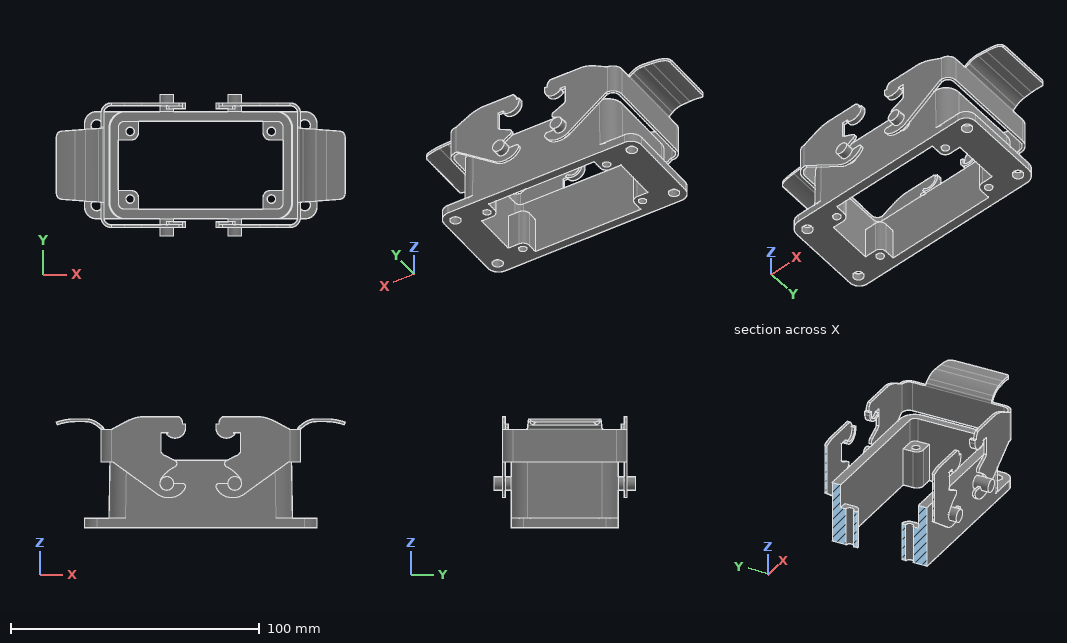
import cadquery as cq
import math

FLANGE_LENGTH = 93.6
FLANGE_WIDTH = 43.2
FLANGE_THICKNESS = 4.0
FLANGE_CORNER_RADIUS = 5.0
FLANGE_HOLE_X = 41.8
FLANGE_HOLE_Y = 16.0
FLANGE_HOLE_DIAMETER = 4.5

HOUSING_HEIGHT = 27.3
HOUSING_BASE_LENGTH = 74.0
HOUSING_TOP_LENGTH = 73.1
HOUSING_CORNER_RADIUS = 6.7
CAVITY_LENGTH = 66.2
CAVITY_WIDTH = 35.3
CAVITY_CORNER_RADIUS = 2.4

BOSS_INNER_X = 25.0
BOSS_INNER_Y = 10.1
BOSS_TOP = 16.8
BOSS_CORNER_RADIUS = 3.0
BOSS_HOLE_X = 28.4
BOSS_HOLE_Y = 13.6
BOSS_HOLE_DIAMETER = 3.3

PIN_X = 13.65
PIN_Z = 17.9
PIN_RADIUS = 2.75
PIN_SPAN = 57.0

SHEET = 1.2
LEVER_OUTER_X = 40.15
LEVER_WIDTH = 50.2
LEVER_BEND_RADIUS = 4.25
LEVER_TOP = 44.8
BAND_BOTTOM = 26.5
BAND_TOP = 39.65

HOOK_X = -10.35
HOOK_Z = 40.35
HOOK_RADIUS = 4.3
HOOK_TOP = 41.8
HOOK_END_ANGLE = 216
LIP_DEPTH = 1.2

SHOULDER_RISE = (-30.6, 42.5)
SHOULDER_MIDDLE = (-27.3, 44.0)
SHOULDER_END = (-23.8, LEVER_TOP)
NOSE_START = (-8.8, LEVER_TOP)
NOSE_MIDDLE = (-7.7, 43.6)
THROAT_BACK_X = -15.9
THROAT_FRONT_X = -13.8
THROAT_TOP = 38.2
THROAT_BOTTOM = 30.4
THROAT_CURVE_MIDDLE = (-15.2, 29.6)
THROAT_CURVE_END = (-14.1, 29.0)
FINGER_UPPER = (-10.5, 27.2)
FINGER_TIP = (-9.6, 25.9)
FINGER_LOWER = (-10.4, 24.6)
FINGER_UNDERSIDE_MIDDLE = (-14.1, 22.0)
FINGER_UNDERSIDE_END = (-16.1, 19.6)
ARM_END_TOP_X = -7.6
ARM_END_MIDDLE = (-6.4, 17.4)
ARM_END_LOWER = (-6.2, 16.2)
ARM_HEEL_MIDDLE = (-8.6, 13.4)
ARM_HEEL_BOTTOM = (-12.0, 12.25)
ARM_SOLE_MIDDLE = (-14.7, 12.35)
ARM_SOLE_END = (-17.0, 13.3)
ARM_ROOT_X = -35.3

TAB_TIP_X = -58.1
TAB_TOP = 43.9
TAB_FLAT_START_X = -50.5
TAB_FLAT_END_X = -46.4
TAB_TIP_ARC_RADIUS = 22.0
TAB_SHOULDER_RADIUS = 8.5
TAB_BEND_RADIUS = 1.4
TAB_TIP_HALF_WIDTH = 13.6
TAB_ROOT_HALF_WIDTH = 15.0
TAB_CORNER_RADIUS = 2.5
TAB_ROOT_FILLET = 0.6


def four_corners(x, y):
    return [(sx * x, sy * y) for sx in (-1, 1) for sy in (-1, 1)]


def polar(cx, cz, radius, degrees):
    angle = math.radians(degrees)
    return (cx + radius * math.cos(angle), cz + radius * math.sin(angle))


def make_flange():
    plate = cq.Workplane("XY").box(
        FLANGE_LENGTH, FLANGE_WIDTH, FLANGE_THICKNESS, centered=(True, True, False)
    )
    return (
        plate.edges("|Z").fillet(FLANGE_CORNER_RADIUS)
        .faces(">Z").workplane(origin=(0, 0, 0))
        .pushPoints(four_corners(FLANGE_HOLE_X, FLANGE_HOLE_Y))
        .hole(FLANGE_HOLE_DIAMETER)
    )


def make_walls():
    base = HOUSING_BASE_LENGTH / 2
    top = HOUSING_TOP_LENGTH / 2
    return (
        cq.Workplane("XZ")
        .polyline([(-base, 0), (base, 0), (top, HOUSING_HEIGHT), (-top, HOUSING_HEIGHT)])
        .close()
        .extrude(FLANGE_WIDTH / 2, both=True)
        .edges("not(|X or |Y)").fillet(HOUSING_CORNER_RADIUS)
    )


def make_cavity():
    return (
        cq.Workplane("XY").rect(CAVITY_LENGTH, CAVITY_WIDTH).extrude(HOUSING_HEIGHT)
        .edges("|Z").fillet(CAVITY_CORNER_RADIUS)
    )


def make_bosses():
    length = CAVITY_LENGTH / 2 - BOSS_INNER_X
    width = CAVITY_WIDTH / 2 - BOSS_INNER_Y
    boss = (
        cq.Workplane("XY").box(length, width, BOSS_TOP, centered=False)
        .translate((BOSS_INNER_X, BOSS_INNER_Y, 0))
        .edges("|Z and <X and <Y").fillet(BOSS_CORNER_RADIUS)
    )
    boss = boss.intersect(make_cavity())
    boss_pair = boss.union(boss.mirror("YZ"))
    bosses = boss_pair.union(boss_pair.mirror("XZ"))
    holes = (
        cq.Workplane("XY").pushPoints(four_corners(BOSS_HOLE_X, BOSS_HOLE_Y))
        .circle(BOSS_HOLE_DIAMETER / 2).extrude(BOSS_TOP)
    )
    return bosses.cut(holes)


def make_pins():
    length = (PIN_SPAN - CAVITY_WIDTH) / 2
    pins = cq.Workplane("XY")
    for side in (-1, 1):
        pin = (
            cq.Workplane("XZ", origin=(side * PIN_X, -CAVITY_WIDTH / 2, PIN_Z))
            .circle(PIN_RADIUS).extrude(length)
        )
        pins = pins.union(pin).union(pin.mirror("XZ"))
    return pins


def lever_outline():
    """Side profile of the band and cheek of the -X lever, in XZ."""
    hook_side = HOOK_X + HOOK_RADIUS
    hook_middle_angle = (HOOK_END_ANGLE - 360) / 2
    hook_end = polar(HOOK_X, HOOK_Z, HOOK_RADIUS, HOOK_END_ANGLE)
    hook_inner_end = polar(HOOK_X, HOOK_Z, HOOK_RADIUS - SHEET / 2, HOOK_END_ANGLE)
    bend_end = -LEVER_OUTER_X + LEVER_BEND_RADIUS
    return (
        cq.Workplane("XZ")
        .moveTo(-LEVER_OUTER_X, BAND_BOTTOM)
        .lineTo(-LEVER_OUTER_X, BAND_TOP)
        .lineTo(bend_end, BAND_TOP)
        .lineTo(*SHOULDER_RISE)
        .threePointArc(SHOULDER_MIDDLE, SHOULDER_END)
        .lineTo(*NOSE_START)
        .threePointArc(NOSE_MIDDLE, (hook_side - SHEET, HOOK_TOP))
        .lineTo(hook_side, HOOK_TOP)
        .lineTo(hook_side, HOOK_Z)
        .threePointArc(polar(HOOK_X, HOOK_Z, HOOK_RADIUS, hook_middle_angle), hook_end)
        .lineTo(*hook_inner_end)
        .lineTo(THROAT_FRONT_X, THROAT_TOP)
        .lineTo(THROAT_BACK_X, THROAT_TOP)
        .lineTo(THROAT_BACK_X, THROAT_BOTTOM)
        .threePointArc(THROAT_CURVE_MIDDLE, THROAT_CURVE_END)
        .lineTo(*FINGER_UPPER)
        .threePointArc(FINGER_TIP, FINGER_LOWER)
        .threePointArc(FINGER_UNDERSIDE_MIDDLE, FINGER_UNDERSIDE_END)
        .lineTo(-PIN_X - PIN_RADIUS, PIN_Z)
        .threePointArc((-PIN_X, PIN_Z - PIN_RADIUS), (-PIN_X + PIN_RADIUS, PIN_Z))
        .lineTo(ARM_END_TOP_X, PIN_Z)
        .threePointArc(ARM_END_MIDDLE, ARM_END_LOWER)
        .threePointArc(ARM_HEEL_MIDDLE, ARM_HEEL_BOTTOM)
        .threePointArc(ARM_SOLE_MIDDLE, ARM_SOLE_END)
        .lineTo(ARM_ROOT_X, BAND_BOTTOM)
        .close()
        .extrude(LEVER_WIDTH / 2, both=True)
    )


def make_lever_body():
    """Bent strip, open toward +X, trimmed to the lever side profile."""
    reach = LEVER_OUTER_X

    def bent_block(inset, radius):
        return (
            cq.Workplane("XY")
            .box(reach, LEVER_WIDTH - 2 * inset, LEVER_TOP, centered=(False, True, False))
            .translate((inset - LEVER_OUTER_X, 0, 0))
            .edges("|Z and <X").fillet(radius)
        )

    strip = bent_block(0, LEVER_BEND_RADIUS).cut(bent_block(SHEET, LEVER_BEND_RADIUS - SHEET))
    return strip.intersect(lever_outline())


def make_hook_lip():
    """Curled rim of the hook, turned inward from the -Y cheek."""
    inner_radius = HOOK_RADIUS - SHEET
    middle_angle = (HOOK_END_ANGLE - 360) / 2
    lip_outer_y = SHEET - LEVER_WIDTH / 2
    return (
        cq.Workplane("XZ", origin=(0, lip_outer_y - SHEET, 0))
        .moveTo(HOOK_X + HOOK_RADIUS, HOOK_TOP)
        .lineTo(HOOK_X + HOOK_RADIUS, HOOK_Z)
        .threePointArc(
            polar(HOOK_X, HOOK_Z, HOOK_RADIUS, middle_angle),
            polar(HOOK_X, HOOK_Z, HOOK_RADIUS, HOOK_END_ANGLE),
        )
        .lineTo(*polar(HOOK_X, HOOK_Z, inner_radius, HOOK_END_ANGLE))
        .threePointArc(
            polar(HOOK_X, HOOK_Z, inner_radius, middle_angle),
            (HOOK_X + inner_radius, HOOK_Z),
        )
        .lineTo(HOOK_X + inner_radius, HOOK_TOP)
        .close()
        .extrude(-(SHEET + LIP_DEPTH))
    )


def tab_section():
    """Curved sheet profile of the finger tab: outer face is on top."""
    tip_center_z = TAB_TOP - TAB_TIP_ARC_RADIUS
    shoulder_center_z = TAB_TOP - TAB_SHOULDER_RADIUS
    tip_angle = 90 + math.degrees(math.asin((TAB_FLAT_START_X - TAB_TIP_X) / TAB_TIP_ARC_RADIUS))
    tip_middle = (90 + tip_angle) / 2

    bend_center_x = SHEET - LEVER_OUTER_X - TAB_BEND_RADIUS
    span_x = bend_center_x - TAB_FLAT_END_X
    span_z = BAND_TOP - shoulder_center_z
    tilt = math.acos((TAB_SHOULDER_RADIUS - TAB_BEND_RADIUS) / math.hypot(span_x, span_z))
    strip_angle = math.degrees(math.atan2(span_z, span_x) + tilt)
    shoulder_middle = (90 + strip_angle) / 2
    bend_middle = strip_angle / 2

    def tip_point(depth, angle):
        return polar(TAB_FLAT_START_X, tip_center_z, TAB_TIP_ARC_RADIUS - depth, angle)

    def shoulder_point(depth, angle):
        return polar(TAB_FLAT_END_X, shoulder_center_z, TAB_SHOULDER_RADIUS - depth, angle)

    def bend_point(depth, angle):
        return polar(bend_center_x, BAND_TOP, TAB_BEND_RADIUS - depth, angle)

    return (
        cq.Workplane("XZ")
        .moveTo(*tip_point(0, tip_angle))
        .threePointArc(tip_point(0, tip_middle), tip_point(0, 90))
        .lineTo(TAB_FLAT_END_X, TAB_TOP)
        .threePointArc(shoulder_point(0, shoulder_middle), shoulder_point(0, strip_angle))
        .lineTo(*bend_point(0, strip_angle))
        .threePointArc(bend_point(0, bend_middle), bend_point(0, 0))
        .lineTo(*bend_point(SHEET, 0))
        .threePointArc(bend_point(SHEET, bend_middle), bend_point(SHEET, strip_angle))
        .lineTo(*shoulder_point(SHEET, strip_angle))
        .threePointArc(shoulder_point(SHEET, shoulder_middle), shoulder_point(SHEET, 90))
        .lineTo(TAB_FLAT_START_X, TAB_TOP - SHEET)
        .threePointArc(tip_point(SHEET, tip_middle), tip_point(SHEET, tip_angle))
        .close()
        .extrude(LEVER_WIDTH / 2, both=True)
    )


def make_tab_root_flare(root_x):
    """Concave widening of the tab where it leaves the band, as a YZ profile."""
    half_width = TAB_ROOT_HALF_WIDTH + TAB_ROOT_FILLET
    top = BAND_TOP + TAB_ROOT_FILLET
    flare = (
        cq.Workplane("YZ", origin=(root_x, 0, BAND_TOP))
        .rect(2 * half_width, 2 * TAB_ROOT_FILLET).extrude(-SHEET)
    )
    rounds = (
        cq.Workplane("YZ", origin=(root_x, 0, top))
        .pushPoints([(-half_width, 0), (half_width, 0)])
        .circle(TAB_ROOT_FILLET).extrude(-SHEET)
    )
    return flare.cut(rounds)


def make_tab():
    root_x = SHEET - LEVER_OUTER_X
    plan = (
        cq.Workplane("XY")
        .polyline([
            (TAB_TIP_X, -TAB_TIP_HALF_WIDTH),
            (root_x, -TAB_ROOT_HALF_WIDTH),
            (root_x, TAB_ROOT_HALF_WIDTH),
            (TAB_TIP_X, TAB_TIP_HALF_WIDTH),
        ])
        .close()
        .extrude(LEVER_TOP)
        .edges("|Z and <X").fillet(TAB_CORNER_RADIUS)
    )
    return tab_section().intersect(plan.union(make_tab_root_flare(root_x)))


def make_lever():
    lip = make_hook_lip()
    return make_lever_body().union(make_tab()).union(lip).union(lip.mirror("XZ"))


housing = make_flange().union(make_walls()).cut(make_cavity()).union(make_bosses())
lever = make_lever()
result = housing.union(make_pins()).union(lever).union(lever.mirror("YZ"))